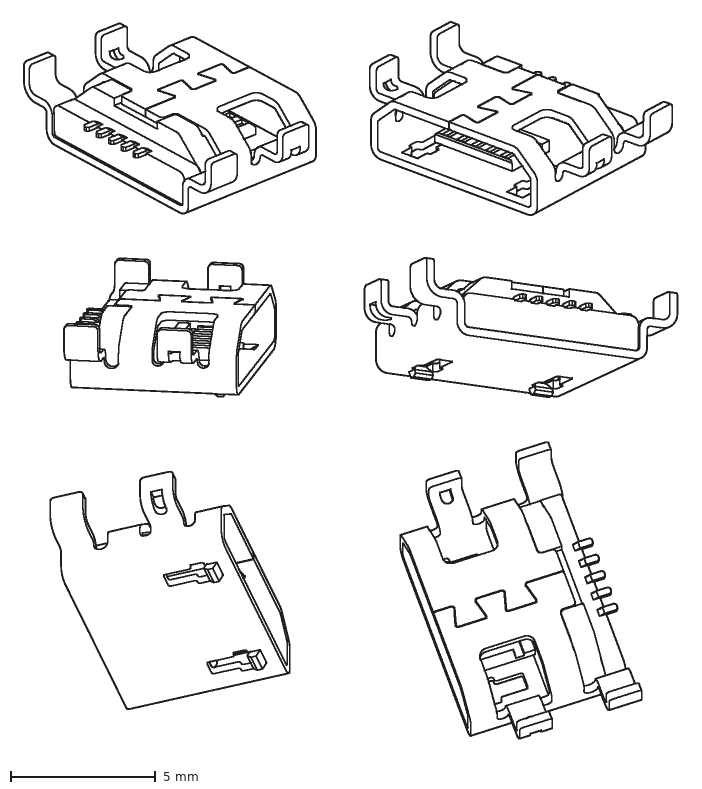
import cadquery as cq


EPS = 0.01
REACH = 10.0

SHEET = 0.3
SHELL_LENGTH = 5.85
SHELL_HALF_WIDTH = 3.75
SHELL_HEIGHT = 2.45
SHOULDER_Z = 1.58
ROOF_HALF_WIDTH = 2.8
BEND_RADIUS = 0.45
INNER_HALF_WIDTH = SHELL_HALF_WIDTH - SHEET

WING_TIP_X = 4.95
WING_TOP_Z = 2.6
WING_ROOT_RADIUS = 0.15
WING_WIDTH = 1.2
FRONT_WING_Z = 1.24
FRONT_WING_RADIUS = 0.6
REAR_WING_Z = 1.35
REAR_WING_RADIUS = 0.45
REAR_WING_Y = 3.88
WING_CORNER_RADIUS = 0.15
WING_SLOT_WIDTH = 0.4
WING_SLOT_X = 4.25
WING_SLOT_TOP_Z = 1.84

WINDOW_LENGTH = 2.0
WINDOW_LEFT_X = -1.65
WINDOW_RIGHT_X = 1.75
WINDOW_CORNER_RADIUS = 0.3
WINDOW_NOTCH_BOTTOM_Z = 1.0
ROOF_EDGE_Y = 1.7
FRONT_NOTCH_BOTTOM_Z = 0.84
ROOF_TAB_EDGE_Y = 1.08
ROOF_TAB_HALF_WIDTH = 1.115
ROOF_TAB_RADIUS = 0.15

SEAM_GAP = 0.025
SEAM_X = 0.217
DOVETAIL_X = -0.59
DOVETAIL_STARTS = (2.29, 4.13)
DOVETAIL_LENGTH = 1.18
DOVETAIL_FLARE = 0.21
SEAM_RADIUS = 0.08

LATCH_X = 2.37
LATCH_START_Y = 3.37
LATCH_STEP_Y = 4.39
LATCH_END_Y = 4.89
LATCH_NARROW_WIDTH = 0.62
LATCH_WIDE_WIDTH = 0.99
LATCH_RADIUS = 0.08
LIP_WIDTH = 0.7
LIP_DEPTH = 0.25
LIP_FOLD_Y = 5.42
LIP_FLOOR_Y = 4.95
LIP_EDGE_Y = 4.865
LIP_EDGE_Z = -0.145
LIP_FLAT_START_Y = 5.0
LIP_FLAT_END_Y = 5.19
LIP_BACK_Y = 5.34

HOUSING_FRONT_Y = 0.085
HOUSING_STEP_Y = 0.83
HOUSING_REAR_Y = 2.8
HOUSING_STEP_Z = 1.55
HOUSING_TOP_Z = 2.42
HOUSING_SHOULDER_Z = 1.345
HOUSING_ROOF_HALF_WIDTH = 2.27
HOUSING_BEND_RADIUS = 0.3
HOUSING_FLOOR_RADIUS = 0.2
ROOF_CLEARANCE = 0.02
RECESS_FLOOR_Z = SHELL_HEIGHT - SHEET - ROOF_CLEARANCE

TONGUE_HALF_WIDTH = 1.75
TONGUE_BOTTOM_Z = 0.78
TONGUE_ROOT_Y = 3.2
TONGUE_ROOT_Z = 1.2
TONGUE_WAIST_Z = 1.0
TONGUE_BLOCK_Y = 3.51
TONGUE_TIP_Y = 4.81
TONGUE_TIP_Z = 1.15
TONGUE_ROUNDING = 0.14
TONGUE_TIP_CHAMFER = 0.06
CONTACT_SLOT_WIDTH = 0.34
CONTACT_SLOT_END_Y = 4.72

PIN_COUNT = 5
PIN_PITCH = 0.65
PIN_WIDTH = 0.25
PIN_TIP_Y = -0.35
PIN_RAMP_START_Y = 0.335
PIN_RAMP_END_Y = 0.145
PIN_TOP_Z = 1.65
PIN_BOTTOM_Z = 1.5
PIN_TIP_CHAMFER = 0.07


def box(x0, x1, y0, y1, z0, z1):
    return cq.Workplane("XY").box(x1 - x0, y1 - y0, z1 - z0, centered=False).translate((x0, y0, z0))


def extrude_along_y(points, y0, y1):
    """Prism with an XZ outline between two Y positions."""
    return cq.Workplane("XZ", origin=(0, y0, 0)).polyline(points).close().extrude(y0 - y1)


def extrude_along_x(points, x_centre, width):
    """Prism with a YZ outline centred on an X position."""
    start = (x_centre - width / 2, 0, 0)
    return cq.Workplane("YZ", origin=start).polyline(points).close().extrude(width)


def with_mirror(body):
    return body.union(body.mirror("YZ"))


def round_at(body, direction, point, radius):
    """Fillet the edge along a direction that lies nearest to a point."""
    nearest = cq.selectors.NearestToPointSelector(point)
    return body.newObject([nearest.filter(body.edges(direction).vals())[0]]).fillet(radius)


def six_sided_outline(half_width, bottom, shoulder, roof_half_width, top):
    right = [(half_width, bottom), (half_width, shoulder), (roof_half_width, top)]
    left = [(-x, z) for x, z in reversed(right)]
    return right + left


def shell_tube():
    """Closed sheet tube that runs the full shell length."""
    outline = six_sided_outline(SHELL_HALF_WIDTH, 0, SHOULDER_Z, ROOF_HALF_WIDTH, SHELL_HEIGHT)
    outer = extrude_along_y(outline, 0, SHELL_LENGTH).edges("|Y").fillet(BEND_RADIUS)
    core = outer.faces("<Y").wires().toPending().offset2D(-SHEET).extrude(-SHELL_LENGTH, combine=False)
    return outer.cut(core)


def roof_plan(gap):
    """Tall block over the roof and its front tab, grown by a gap on all sides."""
    half = ROOF_TAB_HALF_WIDTH + gap
    edge = ROOF_EDGE_Y - gap
    tab_edge = ROOF_TAB_EDGE_Y - gap
    block = box(-REACH, REACH, edge, REACH, 0, REACH).union(box(-half, half, tab_edge, REACH, 0, REACH))
    for x in (-half, half):
        block = round_at(block, "|Z", (x, edge, 0), ROOF_TAB_RADIUS)
        block = round_at(block, "|Z", (x, tab_edge, 0), ROOF_TAB_RADIUS)
    return block


def notch(y_centre, width, bottom):
    """Side-wall notch with a full round bottom, cutting both walls."""
    radius = width / 2
    centre_z = bottom + radius
    slot = box(-REACH, REACH, y_centre - radius, y_centre + radius, centre_z, SHOULDER_Z)
    round_end = cq.Workplane("YZ", origin=(-REACH, y_centre, centre_z)).circle(radius)
    return slot.union(round_end.extrude(2 * REACH))


def front_opening():
    """Everything above the front wings, except the roof and its tab, plus the notches behind them."""
    wall_top = FRONT_WING_Z - WING_ROOT_RADIUS
    opening = box(-REACH, REACH, -REACH, ROOF_EDGE_Y, wall_top, REACH).cut(roof_plan(0))
    notch_width = ROOF_EDGE_Y - WING_WIDTH
    return opening.union(notch(WING_WIDTH + notch_width / 2, notch_width, FRONT_NOTCH_BOTTOM_Z))


def window_opening():
    """Roof and slope windows around the rear wings, with a notch on each side of a wing."""
    y0 = REAR_WING_Y - WINDOW_LENGTH / 2
    y1 = REAR_WING_Y + WINDOW_LENGTH / 2
    wall_top = REAR_WING_Z - WING_ROOT_RADIUS
    left = box(-REACH, WINDOW_LEFT_X, y0, y1, wall_top, REACH)
    left = left.edges("|Z and >X").fillet(WINDOW_CORNER_RADIUS)
    right = box(WINDOW_RIGHT_X, REACH, y0, y1, wall_top, REACH)
    right = right.edges("|Z and <X").fillet(WINDOW_CORNER_RADIUS)
    opening = left.union(right)
    notch_width = (WINDOW_LENGTH - WING_WIDTH) / 2
    for side in (-1, 1):
        y_notch = REAR_WING_Y + side * (WING_WIDTH + notch_width) / 2
        opening = opening.union(notch(y_notch, notch_width, WINDOW_NOTCH_BOTTOM_Z))
    return opening


def dovetail_seam():
    """Thin slit along the interlocking edge of the two roof halves."""
    edge = [(SEAM_X, -REACH)]
    for start in DOVETAIL_STARTS:
        end = start + DOVETAIL_LENGTH
        edge += [
            (SEAM_X, start + DOVETAIL_FLARE),
            (DOVETAIL_X, start),
            (DOVETAIL_X, end),
            (SEAM_X, end - DOVETAIL_FLARE),
        ]
    edge += [(SEAM_X, REACH), (-REACH, REACH), (-REACH, -REACH)]
    base = cq.Workplane("XY", origin=(0, 0, RECESS_FLOOR_Z))
    half = base.polyline(edge).close().extrude(SHELL_HEIGHT)
    near_seam = cq.selectors.BoxSelector((-SHELL_HALF_WIDTH, 0, 0), (SHELL_HALF_WIDTH, SHELL_LENGTH, REACH))
    half = half.edges("|Z").edges(near_seam).fillet(SEAM_RADIUS)
    grown = half.faces("<Z").wires().toPending().offset2D(SEAM_GAP).extrude(SHELL_HEIGHT, combine=False)
    return grown.cut(half)


def latch_opening():
    """T-shaped floor holes for the latches of the plug."""
    narrow = LATCH_NARROW_WIDTH / 2
    wide = LATCH_WIDE_WIDTH / 2
    top = SHEET + EPS
    opening = box(LATCH_X - narrow, LATCH_X + narrow, LATCH_START_Y, LATCH_END_Y, -EPS, top)
    opening = opening.union(box(LATCH_X - wide, LATCH_X + wide, LATCH_STEP_Y, LATCH_END_Y, -EPS, top))
    return with_mirror(opening.edges("|Z").fillet(LATCH_RADIUS))


def lip_opening():
    """Floor opening in which the lip is folded, joined to the latch opening."""
    half = LIP_WIDTH / 2
    y0 = LATCH_END_Y - LATCH_RADIUS
    return with_mirror(box(LATCH_X - half, LATCH_X + half, y0, LIP_FOLD_Y, -EPS, SHEET + EPS))


def grounding_lip():
    """Slanted sheet lip that starts at the floor and hangs below it."""
    outline = [
        (LIP_FOLD_Y + EPS, SHEET),
        (LIP_FOLD_Y, SHEET),
        (LIP_FLOOR_Y, 0),
        (LIP_EDGE_Y, LIP_EDGE_Z),
        (LIP_FLAT_START_Y, -LIP_DEPTH),
        (LIP_FLAT_END_Y, -LIP_DEPTH),
        (LIP_BACK_Y, 0),
        (LIP_FOLD_Y + EPS, 0),
    ]
    return with_mirror(extrude_along_x(outline, LATCH_X, LIP_WIDTH))


def wing(y_centre, flange_z, tip_radius):
    """Right-hand wing: out of the side wall, along the flange and up to the tip."""
    flange_top = flange_z + SHEET
    inner_tip_x = WING_TIP_X - SHEET
    root_z = flange_z - WING_ROOT_RADIUS
    outline = [
        (INNER_HALF_WIDTH, root_z - EPS),
        (INNER_HALF_WIDTH, flange_top),
        (inner_tip_x, flange_top),
        (inner_tip_x, WING_TOP_Z),
        (WING_TIP_X, WING_TOP_Z),
        (WING_TIP_X, flange_z),
        (SHELL_HALF_WIDTH, flange_z),
        (SHELL_HALF_WIDTH, root_z - EPS),
    ]
    body = extrude_along_y(outline, y_centre - WING_WIDTH / 2, y_centre + WING_WIDTH / 2)
    bends = [
        (INNER_HALF_WIDTH, flange_top, WING_ROOT_RADIUS + SHEET),
        (inner_tip_x, flange_top, tip_radius - SHEET),
        (WING_TIP_X, flange_z, tip_radius),
        (SHELL_HALF_WIDTH, flange_z, WING_ROOT_RADIUS),
    ]
    for x, z, radius in bends:
        body = round_at(body, "|Y", (x, y_centre, z), radius)
    return body.edges("|X and >Z").fillet(WING_CORNER_RADIUS)


def rear_wing():
    """Wing with a slot through its outer bend."""
    half = WING_SLOT_WIDTH / 2
    end_x = WING_SLOT_X + half
    slot = box(end_x, REACH, REAR_WING_Y - half, REAR_WING_Y + half, 0, WING_SLOT_TOP_Z)
    slot = slot.union(cq.Workplane("XY").center(end_x, REAR_WING_Y).circle(half).extrude(WING_SLOT_TOP_Z))
    return wing(REAR_WING_Y, REAR_WING_Z, REAR_WING_RADIUS).cut(slot)


def make_shell():
    shell = shell_tube().cut(front_opening()).cut(window_opening())
    shell = shell.cut(dovetail_seam()).cut(latch_opening())
    shell = shell.cut(lip_opening()).union(grounding_lip())
    front_wing = wing(WING_WIDTH / 2, FRONT_WING_Z, FRONT_WING_RADIUS)
    return shell.union(with_mirror(front_wing)).union(with_mirror(rear_wing()))


def make_housing():
    """Full-width lower step at the terminals and a sloped upper block under the roof."""
    half = INNER_HALF_WIDTH + EPS
    floor = SHEET - EPS
    outline = six_sided_outline(half, floor, HOUSING_SHOULDER_Z, HOUSING_ROOF_HALF_WIDTH, HOUSING_TOP_Z)
    upper = extrude_along_y(outline, HOUSING_STEP_Y, HOUSING_REAR_Y)
    upper = upper.edges("|Y").edges("<Z").fillet(HOUSING_FLOOR_RADIUS)
    for side in (-1, 1):
        shoulder = (side * half, HOUSING_STEP_Y, HOUSING_SHOULDER_Z)
        roof_edge = (side * HOUSING_ROOF_HALF_WIDTH, HOUSING_STEP_Y, HOUSING_TOP_Z)
        upper = round_at(upper, "|Y", shoulder, HOUSING_BEND_RADIUS)
        upper = round_at(upper, "|Y", roof_edge, HOUSING_BEND_RADIUS)
    recess_half = ROOF_TAB_HALF_WIDTH + ROOF_CLEARANCE
    recess = roof_plan(ROOF_CLEARANCE).union(box(-recess_half, recess_half, 0, ROOF_EDGE_Y, 0, REACH))
    recess = recess.intersect(box(-REACH, REACH, 0, REACH, RECESS_FLOOR_Z, REACH))
    lower = box(-half, half, HOUSING_FRONT_Y, HOUSING_STEP_Y, floor, HOUSING_STEP_Z)
    lower = lower.edges("|Y and <Z").fillet(HOUSING_FLOOR_RADIUS)
    lower = lower.edges("|Y and >Z").fillet(HOUSING_BEND_RADIUS)
    return upper.cut(recess).union(lower)


def pin_positions():
    return [(index - (PIN_COUNT - 1) / 2) * PIN_PITCH for index in range(PIN_COUNT)]


def make_tongue():
    """Plate with a raised root, a waist and a slotted contact block at the tip."""
    outline = [
        (HOUSING_REAR_Y - EPS, TONGUE_BOTTOM_Z),
        (TONGUE_TIP_Y, TONGUE_BOTTOM_Z),
        (TONGUE_TIP_Y, TONGUE_TIP_Z - TONGUE_TIP_CHAMFER),
        (TONGUE_TIP_Y - TONGUE_TIP_CHAMFER, TONGUE_TIP_Z),
        (TONGUE_BLOCK_Y, TONGUE_TIP_Z),
        (TONGUE_BLOCK_Y, TONGUE_WAIST_Z),
        (TONGUE_ROOT_Y, TONGUE_WAIST_Z),
        (TONGUE_ROOT_Y, TONGUE_ROOT_Z),
        (HOUSING_REAR_Y - EPS, TONGUE_ROOT_Z),
    ]
    tongue = extrude_along_x(outline, 0, 2 * TONGUE_HALF_WIDTH)
    block_y = (TONGUE_BLOCK_Y + TONGUE_TIP_Y) / 2
    for side in (-1, 1):
        tongue = round_at(tongue, "|Y", (side * TONGUE_HALF_WIDTH, block_y, TONGUE_TIP_Z), TONGUE_ROUNDING)
    half = CONTACT_SLOT_WIDTH / 2
    slot_start = TONGUE_BLOCK_Y - EPS
    for x in pin_positions():
        slot = box(x - half, x + half, slot_start, CONTACT_SLOT_END_Y, TONGUE_WAIST_Z, TONGUE_TIP_Z + EPS)
        tongue = tongue.cut(slot)
    return tongue


def make_pin(x_centre):
    """Terminal that ramps out of the housing step and ends in a tapered tip."""
    outline = [
        (PIN_TIP_Y, PIN_BOTTOM_Z),
        (PIN_RAMP_START_Y, PIN_BOTTOM_Z),
        (PIN_RAMP_START_Y, HOUSING_STEP_Z),
        (PIN_RAMP_END_Y, PIN_TOP_Z),
        (PIN_TIP_Y, PIN_TOP_Z),
    ]
    return extrude_along_x(outline, x_centre, PIN_WIDTH).edges("|Z and <Y").chamfer(PIN_TIP_CHAMFER)


result = make_shell().union(make_housing()).union(make_tongue())
for pin_x in pin_positions():
    result = result.union(make_pin(pin_x))